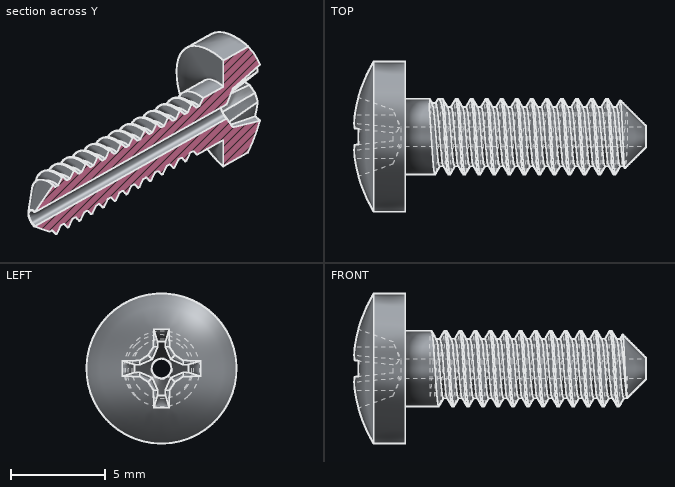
import cadquery as cq
import math

total_length = 15.43
head_diameter = 7.95
head_radius = head_diameter / 2
head_height = 2.72
head_rim_height = 1.68
dome_cut_loss = 0.065
shank_radius = 2.0
tip_radius = 0.57

root_radius = 1.57
thread_length = 10.32
thread_turns = 13
pitch = thread_length / thread_turns
crest_width = 0.1
flank_angle = 30
flank_slope = math.tan(math.radians(flank_angle))
cutter_clearance = 0.05
thread_start = 4.34
thread_start_angle = 135
lead_in_turns = 0.3

recess_depth = 2.47
wing_length_mouth = 2.16
wing_length_floor = 1.28
wing_half_width_mouth = 0.43
wing_half_width_floor = 0.17
wing_root_distance = 1.14
corner_offset_mouth = 0.71
corner_offset_floor = 0.48
mouth_overshoot = 0.15
floor_cone_radius = 1.42
floor_cone_start = 2.05
bore_radius = 0.51


def screw_blank():
    """Domed head, plain shank and conical point as one revolved body."""
    head_rim = head_height - head_rim_height
    dome_height = head_rim + dome_cut_loss
    dome_radius = (head_radius**2 + dome_height**2) / (2 * dome_height)
    half_angle = math.asin(head_radius / dome_radius) / 2
    dome_middle = (
        dome_radius * math.sin(half_angle),
        dome_radius * (1 - math.cos(half_angle)) - dome_cut_loss,
    )
    point_length = shank_radius - tip_radius
    return (
        cq.Workplane("XZ")
        .moveTo(0, -dome_cut_loss)
        .threePointArc(dome_middle, (head_radius, head_rim))
        .lineTo(head_radius, head_height)
        .lineTo(shank_radius, head_height)
        .lineTo(shank_radius, total_length - point_length)
        .lineTo(tip_radius, total_length)
        .lineTo(0, total_length)
        .close()
        .revolve(360, (0, 0), (0, 1))
    )


def helix_edge(turns, radius, start_height, start_angle, radial_drop):
    """One helix about Z that moves inwards by radial_drop over its length."""
    axial_rise = turns * pitch
    slant = math.hypot(axial_rise, radial_drop)
    cone_angle = 360
    if radial_drop:
        cone_angle = -math.degrees(math.atan2(radial_drop, axial_rise))
    helix = cq.Wire.makeHelix(slant / turns, slant, radius + radial_drop, angle=cone_angle)
    helix = helix.rotate(cq.Vector(0, 0, 0), cq.Vector(0, 0, 1), start_angle)
    return helix.translate(cq.Vector(0, 0, start_height)).Edges()[0]


def groove_cutter(turns, start_height, start_angle, radial_drop=0.0):
    """Solid with the V groove section, bounded by helical faces and two flat ends."""
    outer_radius = shank_radius + cutter_clearance
    half_mouth = (pitch - crest_width) / 2
    half_root = half_mouth - (shank_radius - root_radius) * flank_slope
    half_outer = half_mouth + cutter_clearance * flank_slope
    section = [
        (root_radius, -half_root),
        (outer_radius, -half_outer),
        (outer_radius, half_outer),
        (root_radius, half_root),
    ]
    edges = [
        helix_edge(turns, radius, start_height + offset, start_angle, radial_drop)
        for radius, offset in section
    ]
    faces = [
        cq.Face.makeRuledSurface(edge, edges[(index + 1) % len(edges)])
        for index, edge in enumerate(edges)
    ]
    for corners in ([edge.startPoint() for edge in edges], [edge.endPoint() for edge in edges]):
        faces.append(cq.Face.makeFromWires(cq.Wire.makePolygon(corners, close=True)))
    return cq.Workplane(cq.Solid.makeSolid(cq.Shell.makeShell(faces)).fix())


def cross_outline(wing_length, half_width, corner_offset):
    """Four-winged outline with a chamfered inner corner between the wings."""
    quarter = [
        (wing_length, -half_width),
        (wing_length, half_width),
        (wing_root_distance, half_width),
        (corner_offset, corner_offset),
        (half_width, wing_root_distance),
    ]
    points = []
    for cos_turn, sin_turn in ((1, 0), (0, 1), (-1, 0), (0, -1)):
        for x, y in quarter:
            points.append((x * cos_turn - y * sin_turn, x * sin_turn + y * cos_turn))
    return points


def cross_recess():
    """Tapered cross that ends on a conical floor."""
    overshoot = mouth_overshoot / recess_depth

    def above_mouth(mouth, floor):
        return mouth + (mouth - floor) * overshoot

    top = cross_outline(
        above_mouth(wing_length_mouth, wing_length_floor),
        above_mouth(wing_half_width_mouth, wing_half_width_floor),
        above_mouth(corner_offset_mouth, corner_offset_floor),
    )
    bottom = cross_outline(wing_length_floor, wing_half_width_floor, corner_offset_floor)
    loft_top = -mouth_overshoot
    cross = (
        cq.Workplane("XY", origin=(0, 0, loft_top))
        .polyline(top).close()
        .workplane(offset=recess_depth - loft_top)
        .polyline(bottom).close()
        .loft(ruled=True)
    )
    floor_envelope = (
        cq.Workplane("XZ")
        .polyline([
            (0, loft_top),
            (head_radius, loft_top),
            (head_radius, floor_cone_start),
            (floor_cone_radius, floor_cone_start),
            (bore_radius, recess_depth),
            (0, recess_depth),
        ])
        .close()
        .revolve(360, (0, 0), (0, 1))
    )
    return cross.intersect(floor_envelope)


lead_in = groove_cutter(
    lead_in_turns,
    thread_start - lead_in_turns * pitch,
    thread_start_angle - 360 * lead_in_turns,
    shank_radius - root_radius + cutter_clearance,
)
full_groove = groove_cutter(thread_turns, thread_start, thread_start_angle)
bore = cq.Workplane("XY").circle(bore_radius).extrude(total_length)

screw = screw_blank().cut(full_groove).cut(lead_in).cut(cross_recess()).cut(bore)

result = screw.rotate((0, 0, 0), (0, 1, 0), 90)